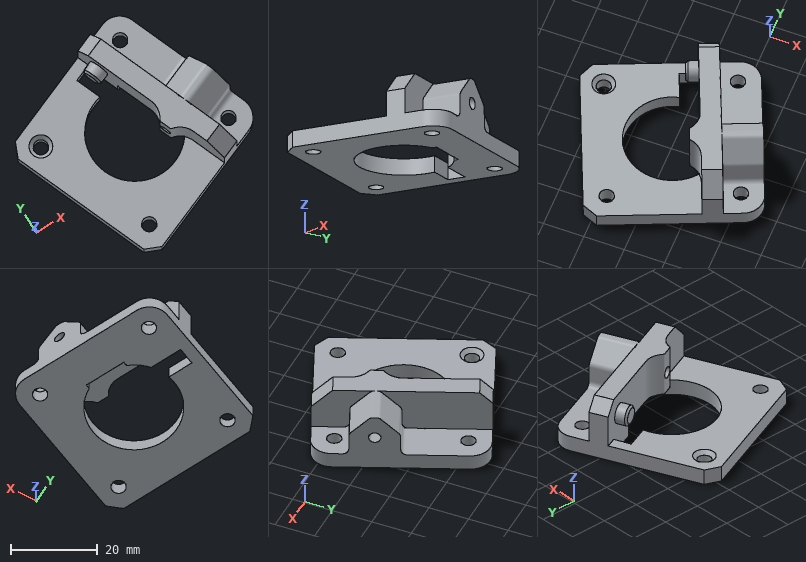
import cadquery as cq
import math

TURN_ANGLE = 22.5

PLATE_SIDE = 42.0
PLATE_HALF = PLATE_SIDE / 2
PLATE_THICKNESS = 4.0
CORNER_CHAMFER = 3.05
CORNER_RADIUS = 5.0
BORE_RADIUS = 11.55

SCREW_PITCH = 31.0
SCREW_HALF = SCREW_PITCH / 2
SCREW_DIAMETER = 3.5
COUNTERSINK_DIAMETER = 5.5
COUNTERSINK_ANGLE = 90

TOP_Z = 15.0
WALL_FRONT_U = 6.4
WALL_BACK_U = 11.35
WALL_CHAMFER_LARGE = 5.0
WALL_CHAMFER_SMALL = 3.05

NOTCH_START_U = 2.0
NOTCH_END_V = 17.95

RELIEF_HALF_V = 5.3

GUIDE_V = -6.0
GUIDE_Z = 9.05
GUIDE_DIAMETER = 2.8
BOSS_FACE_U = 3.8
BOSS_ROOT_HALF = 6.1
BOSS_ARC_RADIUS = 5.2
BOSS_EDGE_RADIUS = 0.4
BLOCK_HALF = 6.0
BLOCK_TOP_HALF = 1.0
BLOCK_SHOULDER_Z = TOP_Z - (BLOCK_HALF - BLOCK_TOP_HALF)
BLOCK_FILLET = 1.5

PIN_V = 14.95
PIN_Z = 9.5
PIN_DIAMETER = 5.0
PIN_TIP_U = 3.4
PIN_CHAMFER = 0.5


def make_plate():
    """Square plate with chamfered front corners, rounded back corners, bore, notch and relief.

    The bore stops flat at the plane of the wall's back face.
    """
    plate = cq.Workplane("XY").box(PLATE_SIDE, PLATE_SIDE, PLATE_THICKNESS, centered=(True, True, False))
    plate = plate.edges("|Z and <X").chamfer(CORNER_CHAMFER)
    plate = plate.edges("|Z and >X").fillet(CORNER_RADIUS)
    behind_wall = cq.Workplane("XY").box(
        PLATE_HALF - WALL_BACK_U, PLATE_SIDE, PLATE_THICKNESS, centered=(False, True, False)
    ).translate((WALL_BACK_U, 0, 0))
    bore = cq.Workplane("XY").circle(BORE_RADIUS).extrude(PLATE_THICKNESS).cut(behind_wall)
    notch = cq.Workplane("XY").box(
        WALL_FRONT_U - NOTCH_START_U, NOTCH_END_V, PLATE_THICKNESS, centered=False
    ).translate((NOTCH_START_U, 0, 0))
    relief = cq.Workplane("XY").box(
        WALL_BACK_U, 2 * RELIEF_HALF_V, PLATE_THICKNESS, centered=(False, True, False)
    )
    return plate.cut(bore).cut(notch).cut(relief)


def make_wall():
    """Upright wall across the whole plate, with its two top corners cut at 45 degrees."""
    return (
        cq.Workplane("YZ", origin=(WALL_FRONT_U, 0, 0))
        .moveTo(-PLATE_HALF, PLATE_THICKNESS)
        .lineTo(PLATE_HALF, PLATE_THICKNESS)
        .lineTo(PLATE_HALF, TOP_Z - WALL_CHAMFER_SMALL)
        .lineTo(PLATE_HALF - WALL_CHAMFER_SMALL, TOP_Z)
        .lineTo(-PLATE_HALF + WALL_CHAMFER_LARGE, TOP_Z)
        .lineTo(-PLATE_HALF, TOP_Z - WALL_CHAMFER_LARGE)
        .close()
        .extrude(WALL_BACK_U - WALL_FRONT_U)
    )


def make_boss():
    """Boss in front of the wall, flared by two concave arcs tangent to the wall face."""
    arc_center_u = WALL_FRONT_U - BOSS_ARC_RADIUS
    sweep = math.acos((BOSS_FACE_U - arc_center_u) / BOSS_ARC_RADIUS)
    mid_u = arc_center_u + BOSS_ARC_RADIUS * math.cos(sweep / 2)
    mid_half = BOSS_ROOT_HALF - BOSS_ARC_RADIUS * math.sin(sweep / 2)
    face_half = BOSS_ROOT_HALF - BOSS_ARC_RADIUS * math.sin(sweep)
    boss = (
        cq.Workplane("XY", origin=(0, GUIDE_V, PLATE_THICKNESS))
        .moveTo(WALL_BACK_U, BOSS_ROOT_HALF)
        .lineTo(WALL_FRONT_U, BOSS_ROOT_HALF)
        .threePointArc((mid_u, mid_half), (BOSS_FACE_U, face_half))
        .lineTo(BOSS_FACE_U, -face_half)
        .threePointArc((mid_u, -mid_half), (WALL_FRONT_U, -BOSS_ROOT_HALF))
        .lineTo(WALL_BACK_U, -BOSS_ROOT_HALF)
        .close()
        .extrude(TOP_Z - PLATE_THICKNESS)
    )
    return boss.faces("<X").edges("|Z").fillet(BOSS_EDGE_RADIUS)


def make_guide_block():
    """Roof-shaped block from the wall to the back edge, with a root fillet on each side."""
    length = PLATE_HALF - WALL_BACK_U
    profile_plane = cq.Workplane("YZ", origin=(WALL_BACK_U, GUIDE_V, 0))
    block = (
        profile_plane.moveTo(-BLOCK_HALF, PLATE_THICKNESS)
        .lineTo(-BLOCK_HALF, BLOCK_SHOULDER_Z)
        .lineTo(-BLOCK_TOP_HALF, TOP_Z)
        .lineTo(BLOCK_TOP_HALF, TOP_Z)
        .lineTo(BLOCK_HALF, BLOCK_SHOULDER_Z)
        .lineTo(BLOCK_HALF, PLATE_THICKNESS)
        .close()
        .extrude(length)
        .edges("|X and (not <Z)")
        .fillet(BLOCK_FILLET)
    )
    for side in (-1, 1):
        root_fillet = (
            profile_plane.moveTo(side * BLOCK_HALF, PLATE_THICKNESS)
            .lineTo(side * (BLOCK_HALF + BLOCK_FILLET), PLATE_THICKNESS)
            .radiusArc((side * BLOCK_HALF, PLATE_THICKNESS + BLOCK_FILLET), side * BLOCK_FILLET)
            .close()
            .extrude(length)
        )
        block = block.union(root_fillet)
    return block


def drill_screw_holes(body):
    """Four motor screw holes; the one at -U, +V is countersunk."""
    top = body.copyWorkplane(cq.Workplane("XY", origin=(0, 0, PLATE_THICKNESS)))
    plain = [(-SCREW_HALF, -SCREW_HALF), (SCREW_HALF, -SCREW_HALF), (SCREW_HALF, SCREW_HALF)]
    body = top.pushPoints(plain).hole(SCREW_DIAMETER, PLATE_THICKNESS)
    top = body.copyWorkplane(cq.Workplane("XY", origin=(0, 0, PLATE_THICKNESS)))
    return top.center(-SCREW_HALF, SCREW_HALF).cskHole(
        SCREW_DIAMETER, COUNTERSINK_DIAMETER, COUNTERSINK_ANGLE, PLATE_THICKNESS
    )


def make_bracket():
    """Plate, wall, boss and guide block as one solid, with all holes."""
    bracket = make_plate().union(make_wall()).union(make_boss()).union(make_guide_block())
    guide_hole = (
        cq.Workplane("YZ", origin=(BOSS_FACE_U, GUIDE_V, GUIDE_Z))
        .circle(GUIDE_DIAMETER / 2)
        .extrude(PLATE_HALF - BOSS_FACE_U)
    )
    return drill_screw_holes(bracket.cut(guide_hole))


def make_pin():
    """Round pin standing on the front face of the wall, with a chamfered tip."""
    return (
        cq.Workplane("YZ", origin=(PIN_TIP_U, PIN_V, PIN_Z))
        .circle(PIN_DIAMETER / 2)
        .extrude(WALL_FRONT_U - PIN_TIP_U)
        .faces("<X")
        .chamfer(PIN_CHAMFER)
    )


def turn_into_place(body):
    return body.rotate((0, 0, 0), (0, 0, 1), TURN_ANGLE)


bracket = turn_into_place(make_bracket())
pin = turn_into_place(make_pin())

result = cq.Compound.makeCompound([bracket.val(), pin.val()])